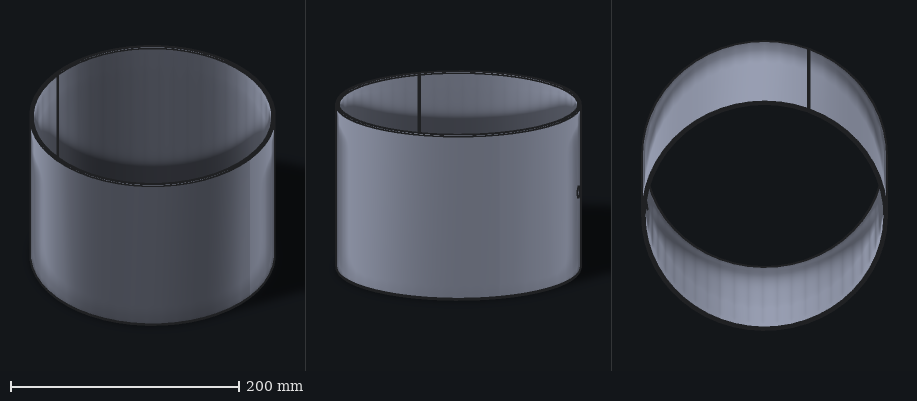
import cadquery as cq
import math

outer_diameter = 215.0
height = 150.0
wall = 2.5

chamfer_height = 1.5
chamfer_width = 0.75

slit_width = 1.5

hole_diameter = 10.0
hole_angle = 59.0

outer_radius = outer_diameter / 2
inner_radius = outer_radius - wall


def make_sleeve():
    """Tube revolved from its wall section, chamfered on all four edges."""
    section = (
        cq.Workplane("XZ")
        .moveTo(inner_radius, chamfer_height)
        .lineTo(inner_radius + chamfer_width, 0)
        .lineTo(outer_radius - chamfer_width, 0)
        .lineTo(outer_radius, chamfer_height)
        .lineTo(outer_radius, height - chamfer_height)
        .lineTo(outer_radius - chamfer_width, height)
        .lineTo(inner_radius + chamfer_width, height)
        .lineTo(inner_radius, height - chamfer_height)
        .close()
    )
    return section.revolve(360, (0, 0, 0), (0, 1, 0))


def make_slit():
    """Full-height block that opens the wall at -X."""
    slit = cq.Workplane("XY").box(outer_radius, slit_width, height, centered=False)
    return slit.translate((-outer_radius, 0, 0))


def make_hole():
    """Radial cylinder from the axis out through one side of the wall."""
    angle = math.radians(hole_angle)
    direction = cq.Vector(math.cos(angle), math.sin(angle), 0)
    start = cq.Vector(0, 0, height / 2)
    return cq.Solid.makeCylinder(hole_diameter / 2, outer_diameter, start, direction)


result = make_sleeve().cut(make_slit()).cut(make_hole())